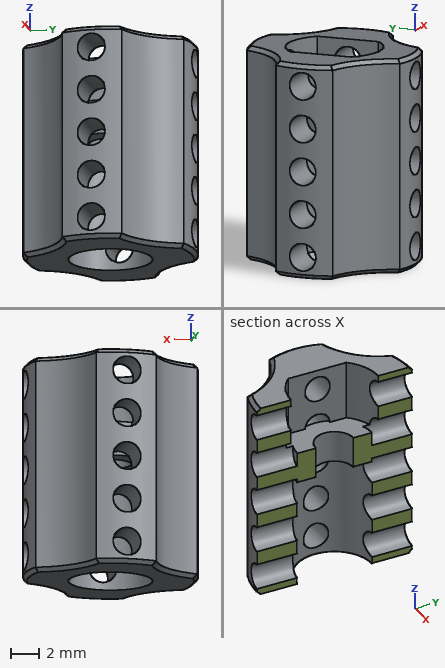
import cadquery as cq

HEIGHT = 15.62
BODY_RADIUS = 6.25
END_CHAMFER = 0.3

SCALLOP_COUNT = 4
SCALLOP_RADIUS = 5.31
SCALLOP_CENTER_DISTANCE = 10.31

SOCKET_DIAMETER = 7.0
SOCKET_WIDTH = 5.22
SOCKET_FLOOR_Z = 11.0
WEB_BOTTOM_Z = 8.53
BORE_DIAMETER = 6.0
WEB_HOLE_DIAMETER = 3.0

CROSS_HOLE_DIAMETER = 2.0
CROSS_HOLE_COUNT = 5
CROSS_HOLE_PITCH = HEIGHT / CROSS_HOLE_COUNT


def cylinder(diameter, bottom_z, top_z):
    """Solid cylinder on the Z axis between two heights."""
    return cq.Workplane("XY").workplane(offset=bottom_z).circle(diameter / 2).extrude(top_z - bottom_z)


def lobed_body():
    """Round bar with grip scallops and chamfered ends."""
    body = cylinder(2 * BODY_RADIUS, 0, HEIGHT)
    first_angle = 180 / SCALLOP_COUNT
    scallops = (
        cq.Workplane("XY")
        .polarArray(SCALLOP_CENTER_DISTANCE, first_angle, 360, SCALLOP_COUNT)
        .circle(SCALLOP_RADIUS)
        .extrude(HEIGHT)
    )
    return body.cut(scallops).faces("<Z or >Z").chamfer(END_CHAMFER)


def double_d_socket():
    """Round socket cut flat on the +X and -X sides."""
    round_socket = cylinder(SOCKET_DIAMETER, SOCKET_FLOOR_Z, HEIGHT)
    flats = cq.Workplane("XY").box(
        SOCKET_WIDTH, SOCKET_DIAMETER, HEIGHT, centered=(True, True, False)
    )
    return round_socket.intersect(flats)


def cross_holes(plane):
    """One column of evenly spaced holes through the whole body, normal to the plane."""
    return (
        cq.Workplane(plane)
        .center(0, HEIGHT / 2)
        .rarray(0.15, CROSS_HOLE_PITCH, 1, CROSS_HOLE_COUNT)
        .circle(CROSS_HOLE_DIAMETER / 2)
        .extrude(BODY_RADIUS, both=True)
    )


result = lobed_body()
result = result.cut(double_d_socket())
result = result.cut(cylinder(BORE_DIAMETER, 0, WEB_BOTTOM_Z))
for hole_plane in ("XZ", "YZ"):
    result = result.cut(cross_holes(hole_plane))

web = cylinder(BORE_DIAMETER, WEB_BOTTOM_Z, SOCKET_FLOOR_Z)
result = result.union(web)
result = result.cut(cylinder(WEB_HOLE_DIAMETER, WEB_BOTTOM_Z, SOCKET_FLOOR_Z))